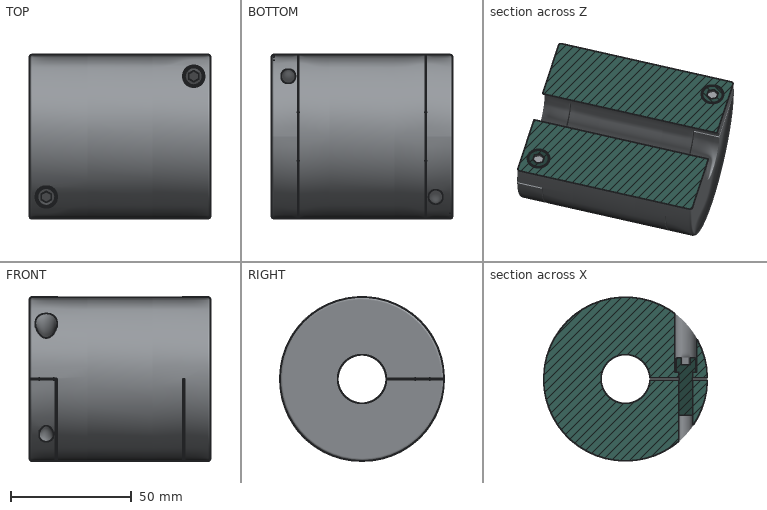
import cadquery as cq
import math

length = 75.0
outer_diameter = 68.0
bore_diameter = 20.0
edge_fillet = 1.1

band_length = 26.8
clamp_end_length = (length - band_length) / 2

clamp_width = 11.1
cross_cut_width = 0.5
split_cut_width = 0.75

screw_inset = 7.0
screw_offset = 25.0
head_diameter = 8.5
head_height = 6.0
head_chamfer = 0.6
head_seat_z = 3.0
counterbore_diameter = 9.0
shank_diameter = 6.0
shank_length = 18.0
socket_across_flats = 4.0
socket_depth = 3.0

end_x = -length / 2
outer_radius = outer_diameter / 2
head_top_z = head_seat_z + head_height
screw_x = end_x + screw_inset
screw_y = -screw_offset


def screw_cylinder(bottom_z, top_z, diameter):
    """Cylinder on the axis of the -X clamp screw."""
    base = cq.Workplane("XY", origin=(screw_x, screw_y, bottom_z))
    return base.circle(diameter / 2).extrude(top_z - bottom_z)


def place_at_end(workplane, end_angle):
    """The +X end is the -X end turned half a turn about Z."""
    return workplane.rotate((0, 0, 0), (0, 0, 1), end_angle)


def make_ring(start_x, ring_length):
    base = cq.Workplane(cq.Plane(origin=(start_x, 0, 0), xDir=(0, 0, -1), normal=(1, 0, 0)))
    return base.circle(outer_radius).circle(bore_diameter / 2).extrude(ring_length)


def make_cross_cut():
    """Cut across the axis, through everything below the axis."""
    cut = cq.Workplane("XY").box(
        cross_cut_width, outer_diameter, outer_radius, centered=(True, True, False)
    )
    return cut.translate((end_x + clamp_width, 0, -outer_radius))


def make_split_cut():
    """Horizontal cut from the end face to the cross cut, on the screw side of the axis."""
    cut = cq.Workplane("XY").box(
        clamp_width, outer_radius, split_cut_width, centered=(False, False, True)
    )
    return cut.translate((end_x, -outer_radius, 0))


def make_clamp_end(end_angle):
    clamp_end = make_ring(end_x, clamp_end_length)
    outer_rim = cq.selectors.RadiusNthSelector(-1)
    clamp_end = clamp_end.faces("<X").edges(outer_rim).fillet(edge_fillet)
    clamp_end = clamp_end.cut(make_cross_cut()).cut(make_split_cut())
    clamp_end = clamp_end.cut(screw_cylinder(head_seat_z, outer_radius, counterbore_diameter))
    clamp_end = clamp_end.cut(screw_cylinder(-outer_radius, head_seat_z, shank_diameter))
    return place_at_end(clamp_end, end_angle)


def make_coupling():
    """One solid; fusing without cleaning keeps the band as a separate face of the surface."""
    coupling = make_ring(-band_length / 2, band_length)
    for end_angle in end_angles:
        coupling = coupling.union(make_clamp_end(end_angle), clean=False)
    return coupling


def make_screw(end_angle):
    head = screw_cylinder(head_seat_z, head_top_z, head_diameter).faces(">Z").chamfer(head_chamfer)
    shank = screw_cylinder(head_seat_z - shank_length, head_seat_z, shank_diameter)
    socket_across_corners = socket_across_flats / math.cos(math.pi / 6)
    socket_plane = cq.Workplane("XY", origin=(screw_x, screw_y, head_top_z))
    socket_plane = socket_plane.transformed(rotate=(0, 0, 90))
    socket = socket_plane.polygon(6, socket_across_corners).extrude(-socket_depth)
    return place_at_end(head.union(shank).cut(socket), end_angle)


end_angles = (0, 180)
coupling = make_coupling()
screws = [make_screw(end_angle).solids().val() for end_angle in end_angles]

result = cq.Compound.makeCompound([coupling.solids().val(), *screws])